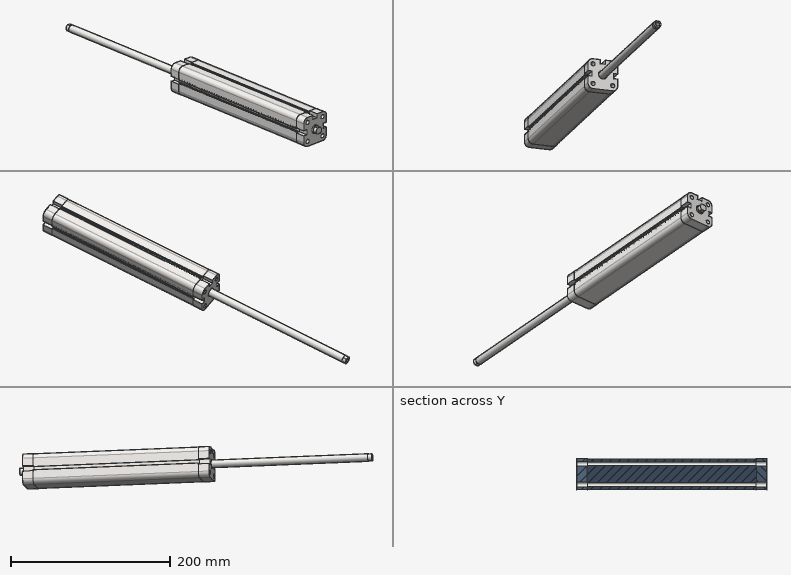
import cadquery as cq
import math

total_length = 451
rod_extension = 205.0
tail_length = 6.8
cap_length = 13.5
body_length = total_length - rod_extension - tail_length
tube_length = body_length - 2 * cap_length
front_face_x = rod_extension
tube_x = front_face_x + cap_length
rear_cap_x = tube_x + tube_length

cap_width = 39.5
tube_width = 39.2
cap_corner_radius = 6.8
tube_corner_radius = cap_corner_radius - (cap_width - tube_width) / 2

slot_width = 6.8
slot_mouth_width = 4.0
slot_depth = 5.5
slot_lip = 2.0
slot_angles = (0, 90, 180)

screw_spacing = 26.0
cap_hole_diameter = 5.5
tube_hole_diameter = 4.0

rod_diameter = 10.0
cap_bore_diameter = 11.5
neck_diameter = 9.5
neck_length = 5.0
flat_thickness = 8.5
end_hole_diameter = 5.0
end_hole_depth = 13.5
drill_tip_angle = 118


def square_bar(x_start, length, width, corner_radius):
    """Square bar along X with rounded long edges."""
    bar = cq.Workplane("YZ", origin=(x_start, 0, 0)).rect(width, width).extrude(length)
    return bar.edges("|X").fillet(corner_radius)


def slot_cutter(x_start, length, width, inner_depth, outer_depth):
    """Straight groove in each slotted side, between two depths below the cap's outer faces."""
    half = cap_width / 2
    groove = cq.Workplane("XY").box(
        length, inner_depth - outer_depth, width, centered=(False, False, True)
    )
    groove = groove.translate((x_start, half - inner_depth, 0))
    cutter = cq.Workplane("XY")
    for angle in slot_angles:
        cutter = cutter.add(groove.rotate((0, 0, 0), (1, 0, 0), angle))
    return cutter.combine()


def corner_holes(x_start, length, diameter):
    """Four screw holes along X."""
    plane = cq.Workplane("YZ", origin=(x_start, 0, 0))
    centers = plane.rect(screw_spacing, screw_spacing, forConstruction=True).vertices()
    return centers.circle(diameter / 2).extrude(length)


def round_bar(x_start, length, diameter):
    """Cylinder on the central X axis."""
    return cq.Workplane("YZ", origin=(x_start, 0, 0)).circle(diameter / 2).extrude(length)


def make_cap(x_start):
    """End cap with plain slots and a clearance bore around the rod."""
    cap = square_bar(x_start, cap_length, cap_width, cap_corner_radius)
    cap = cap.cut(slot_cutter(x_start, cap_length, slot_width, slot_depth, 0))
    cap = cap.cut(corner_holes(x_start, cap_length, cap_hole_diameter))
    return cap.cut(round_bar(x_start, cap_length, cap_bore_diameter))


def make_tube():
    """Extruded cylinder tube with undercut slots, guiding the rod in its bore."""
    tube = square_bar(tube_x, tube_length, tube_width, tube_corner_radius)
    tube = tube.cut(slot_cutter(tube_x, tube_length, slot_mouth_width, slot_depth, 0))
    tube = tube.cut(slot_cutter(tube_x, tube_length, slot_width, slot_depth, slot_lip))
    tube = tube.cut(corner_holes(tube_x, tube_length, tube_hole_diameter))
    return tube.cut(round_bar(tube_x, tube_length, rod_diameter))


def make_neck(x_start):
    """Rod end of reduced diameter with a flat on the top and the bottom."""
    neck = round_bar(x_start, neck_length, neck_diameter)
    flat_limits = cq.Workplane("XY").box(
        neck_length, neck_diameter, flat_thickness, centered=(False, True, True)
    )
    return neck.intersect(flat_limits.translate((x_start, 0, 0)))


def drilled_end_hole():
    """Blind hole with a conical bottom in the front end of the rod."""
    radius = end_hole_diameter / 2
    tip_length = radius / math.tan(math.radians(drill_tip_angle / 2))
    profile = (
        cq.Workplane("XY")
        .polyline([(0, 0), (0, radius), (end_hole_depth, radius), (end_hole_depth + tip_length, 0)])
        .close()
    )
    return profile.revolve(360, (0, 0, 0), (1, 0, 0))


def make_rod():
    """Piston rod running through the caps and the tube, with a neck at both ends."""
    rear_neck_x = total_length - neck_length
    rod = round_bar(neck_length, rear_neck_x - neck_length, rod_diameter)
    rod = rod.union(make_neck(0))
    rod = rod.union(make_neck(rear_neck_x))
    return rod.cut(drilled_end_hole())


caps = [make_cap(x_start) for x_start in (front_face_x, rear_cap_x)]
tube = make_tube()
rod = make_rod()

result = cq.Compound.makeCompound([*(cap.val() for cap in caps), tube.val(), rod.val()])